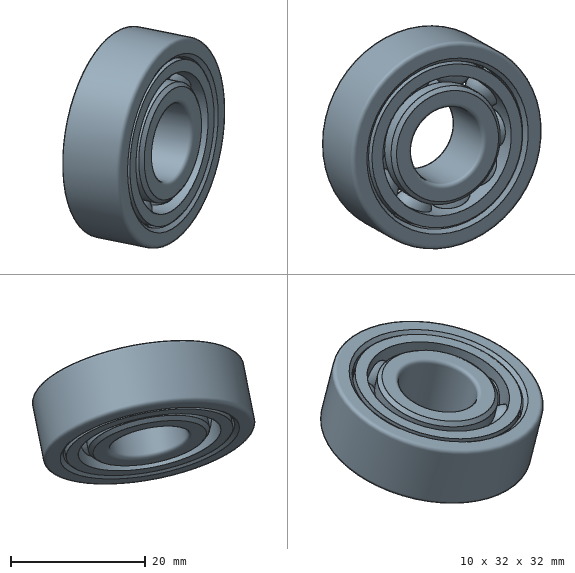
import cadquery as cq
import math


width = 10.01
outer_diameter = 32.0
bore_diameter = 12.0
corner_radius = 0.6

inner_shoulder_radius = 9.19
outer_shoulder_radius = 12.98
shoulder_chamfer = 0.6

ball_count = 10
ball_radius = 2.976
groove_conformity = 1.04
groove_radius = groove_conformity * ball_radius
pitch_radius = (inner_shoulder_radius + outer_shoulder_radius) / 2

cage_inner_radius = 10.81
cage_outer_radius = 12.64
cage_width = 9.7

half_width = width / 2


def groove(bottom_radius, side):
    """Torus cutter for a ball groove; side is +1 if it cuts outwards, -1 if inwards."""
    centre_radius = bottom_radius - side * groove_radius
    profile = cq.Workplane("XY").center(0, centre_radius).circle(groove_radius)
    return profile.revolve(360, (0, -centre_radius, 0), (1, -centre_radius, 0))


def make_ring(plain_radius, shoulder_radius, side):
    """Race ring: rounded plain surface, chamfered shoulder and ball groove."""
    corner_inset = plain_radius - side * corner_radius
    corner_middle = corner_radius * (1 - math.sqrt(0.5))
    chamfer_edge = shoulder_radius + side * shoulder_chamfer
    ring = (
        cq.Workplane("XY")
        .moveTo(-half_width, chamfer_edge)
        .lineTo(-half_width, corner_inset)
        .threePointArc(
            (-half_width + corner_middle, plain_radius - side * corner_middle),
            (-half_width + corner_radius, plain_radius),
        )
        .lineTo(half_width - corner_radius, plain_radius)
        .threePointArc(
            (half_width - corner_middle, plain_radius - side * corner_middle),
            (half_width, corner_inset),
        )
        .lineTo(half_width, chamfer_edge)
        .lineTo(half_width - shoulder_chamfer, shoulder_radius)
        .lineTo(-half_width + shoulder_chamfer, shoulder_radius)
        .close()
        .revolve(360, (0, 0, 0), (1, 0, 0))
    )
    return ring.cut(groove(pitch_radius + side * ball_radius, side))


def make_caged_balls():
    """Plain cage ring joined to the evenly spaced balls it carries."""
    caged_balls = (
        cq.Workplane("YZ", origin=(-cage_width / 2, 0, 0))
        .circle(cage_outer_radius)
        .circle(cage_inner_radius)
        .extrude(cage_width)
    )
    for index in range(ball_count):
        angle = 2 * math.pi * index / ball_count
        centre = (0, pitch_radius * math.cos(angle), pitch_radius * math.sin(angle))
        ball = cq.Workplane("XY", origin=centre).sphere(ball_radius)
        caged_balls = caged_balls.union(ball)
    return caged_balls


outer_ring = make_ring(outer_diameter / 2, outer_shoulder_radius, 1)
inner_ring = make_ring(bore_diameter / 2, inner_shoulder_radius, -1)
caged_balls = make_caged_balls()

result = cq.Compound.makeCompound(
    [
        outer_ring.solids().val(),
        inner_ring.solids().val(),
        caged_balls.solids().val(),
    ]
)